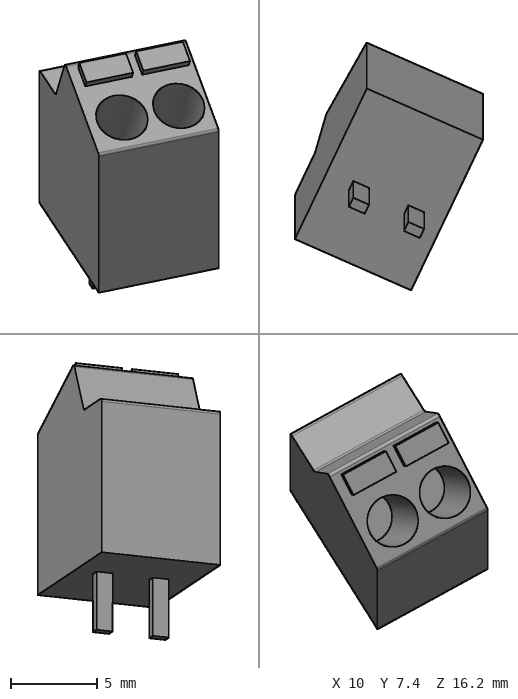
import cadquery as cq
import math

length = 10.0
shelf_height = 9.27
peak_x = 4.33
peak_height = 12.43
slope_angle = 26.1
edge_radius = 0.2

pole_pitch = 3.51
pole_positions = (-pole_pitch / 2, pole_pitch / 2)
width = 7.4
back_y = 3.54

hole_diameter = 3.02
hole_center_x = 8.13
hole_depth = 6.79

button_offset = 0.4
button_length = 1.35
button_width = 2.88
button_height = 0.47

pin_center_x = 4.3
pin_thickness = 0.6
pin_width = 1.0
pin_length = 3.5

slope = math.radians(slope_angle)
right_height = peak_height - (length - peak_x) * math.tan(slope)
shelf_end_x = peak_x - (peak_height - shelf_height) * math.tan(slope)
hole_distance = (hole_center_x - peak_x) / math.cos(slope)


def slope_plane(y):
    """Plane at the peak: local X runs down the slope, local Z points outward."""
    return cq.Plane(
        origin=(peak_x, y, peak_height),
        xDir=(math.cos(slope), 0, -math.sin(slope)),
        normal=(math.sin(slope), 0, math.cos(slope)),
    )


def make_wire_hole(y):
    return (
        cq.Workplane(slope_plane(y))
        .center(hole_distance, 0)
        .circle(hole_diameter / 2)
        .extrude(-hole_depth)
    )


def make_housing():
    upper_corners = [
        (0, shelf_height),
        (shelf_end_x, shelf_height),
        (peak_x, peak_height),
        (length, right_height),
    ]
    body = (
        cq.Workplane("XZ", origin=(0, back_y, 0))
        .polyline([(0, 0), *upper_corners, (length, 0)])
        .close()
        .extrude(width)
    )
    body = body.edges("|Y").edges("not <Z").fillet(edge_radius)
    for y in pole_positions:
        body = body.cut(make_wire_hole(y))
    return body


def make_button(y):
    return (
        cq.Workplane(slope_plane(y))
        .center(button_offset + button_length / 2, 0)
        .rect(button_length, button_width)
        .extrude(button_height)
    )


def make_pin(y):
    return cq.Workplane("XY", origin=(pin_center_x, y, -pin_length)).box(
        pin_thickness, pin_width, pin_length, centered=(True, True, False)
    )


housing = make_housing()
buttons = [make_button(y).val() for y in pole_positions]
pins = [make_pin(y).val() for y in pole_positions]

result = cq.Compound.makeCompound([housing.val(), *buttons, *pins])